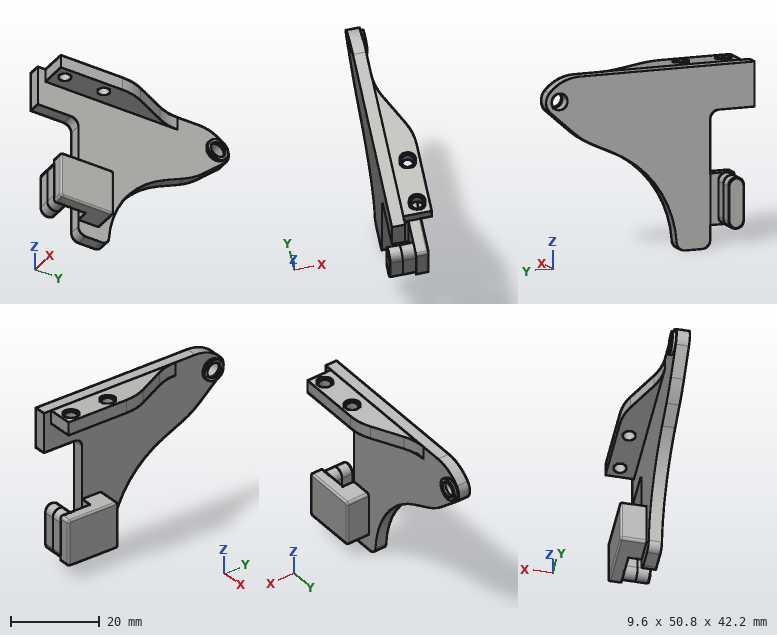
import cadquery as cq
import math


plate_thickness = 3.05
plate_height = 42.2
tongue_height = 10.4
leg_front_y = 10.75
corner_radius = 2.05
pivot_y = 47.5
pivot_z = -5.45
nose_radius = 3.3
crown_radius = 9.6
pivot_hole_diameter = 3.8
nose_slope = math.radians(41.6)
belly_slope = math.radians(24.7)
bend_radius = 20.3
sweep_radius = 25.9
sweep_center_y = 44.8
sweep_center_z = -42.05

boss_diameter = 5.4
boss_height = 0.75

flange_outer_x = 9.6
flange_thickness = 3.4
flange_front_y = 2.05
flange_taper_start_y = 18.4
flange_taper_end_y = 37.2
flange_taper_angle = math.radians(27)
flange_end_radius = 12.5
screw_x = 6.8
screw_front_y = 4.85
screw_spacing = 10.35
screw_hole_diameter = 2.9
counterbore_diameter = 3.8
counterbore_depth = 0.5

clip_front_y = 2.4
clip_length = 14.05
clip_height = 11.95
clip_top_z = -26.35
clip_outer_x = 9.05
clip_wall_x = 6.1
clip_corner_radius = 0.65
clip_edge_radius = 0.45

post_center_y = 4.4
post_width = 3.8
post_height = 11.85
tip_chamfer = 0.2


def slope_normal(angle):
    """Unit vector pointing down and away from an edge that drops toward the front."""
    return math.sin(angle), -math.cos(angle)


def offset_point(y, z, distance, direction):
    return y + distance * direction[0], z + distance * direction[1]


def make_plate():
    crown_center_z = -crown_radius
    center_gap = crown_radius - nose_radius
    crown_center_y = pivot_y - math.sqrt(center_gap**2 - (pivot_z - crown_center_z) ** 2)
    crown_angle = math.atan2(pivot_z - crown_center_z, pivot_y - crown_center_y)
    crown_direction = (math.cos(crown_angle), math.sin(crown_angle))
    half_angle = (crown_angle + math.pi / 2) / 2
    half_direction = (math.cos(half_angle), math.sin(half_angle))
    crown_start = (crown_center_y, 0)
    crown_middle = offset_point(crown_center_y, crown_center_z, crown_radius, half_direction)
    crown_end = offset_point(pivot_y, pivot_z, nose_radius, crown_direction)

    nose_normal = slope_normal(nose_slope)
    belly_normal = slope_normal(belly_slope)
    nose_end = offset_point(pivot_y, pivot_z, nose_radius, nose_normal)
    sweep_start = offset_point(sweep_center_y, sweep_center_z, -sweep_radius, belly_normal)

    nose_gradient = math.tan(nose_slope)
    belly_gradient = math.tan(belly_slope)
    nose_intercept = nose_end[1] - nose_gradient * nose_end[0]
    belly_intercept = sweep_start[1] - belly_gradient * sweep_start[0]
    bend_y = (belly_intercept - nose_intercept) / (nose_gradient - belly_gradient)
    bend = (bend_y, nose_gradient * bend_y + nose_intercept)

    sweep_middle = offset_point(
        sweep_center_y, sweep_center_z, -sweep_radius, slope_normal((belly_slope + math.pi / 2) / 2)
    )
    foot_drop = plate_height + sweep_center_z
    foot_back = (sweep_center_y - math.sqrt(sweep_radius**2 - foot_drop**2), -plate_height)
    foot_front = (leg_front_y, -plate_height)
    notch = (leg_front_y, -tongue_height)

    plate = (
        cq.Workplane("YZ")
        .moveTo(0, 0)
        .lineTo(*crown_start)
        .threePointArc(crown_middle, crown_end)
        .threePointArc((pivot_y + nose_radius, pivot_z), nose_end)
        .lineTo(*bend)
        .lineTo(*sweep_start)
        .threePointArc(sweep_middle, foot_back)
        .lineTo(*foot_front)
        .lineTo(*notch)
        .lineTo(0, -tongue_height)
        .close()
        .extrude(plate_thickness)
    )
    rounded_corners = [
        (bend, bend_radius),
        (foot_back, corner_radius),
        (foot_front, corner_radius),
        (notch, corner_radius),
    ]
    for (y, z), radius in rounded_corners:
        plate = plate.edges(cq.NearestToPointSelector((plate_thickness / 2, y, z))).fillet(radius)
    hole = (
        cq.Workplane("YZ")
        .center(pivot_y, pivot_z)
        .circle(pivot_hole_diameter / 2)
        .extrude(plate_thickness)
    )
    return plate.cut(hole)


def make_boss():
    return (
        cq.Workplane("YZ", origin=(plate_thickness, 0, 0))
        .center(pivot_y, pivot_z)
        .circle(boss_diameter / 2)
        .circle(pivot_hole_diameter / 2)
        .extrude(boss_height)
    )


def make_flange():
    width = flange_outer_x - plate_thickness
    length = flange_taper_end_y - flange_taper_start_y
    sine = math.sin(flange_taper_angle)
    cosine = math.cos(flange_taper_angle)
    radius_sum = (length * sine - width * cosine) / (1 - cosine)
    root_radius = radius_sum - flange_end_radius

    def end_arc_point(angle):
        return (
            flange_outer_x - flange_end_radius * (1 - math.cos(angle)),
            flange_taper_start_y + flange_end_radius * math.sin(angle),
        )

    def root_arc_point(angle):
        return (
            plate_thickness + root_radius * (1 - math.cos(angle)),
            flange_taper_end_y - root_radius * math.sin(angle),
        )

    flange = (
        cq.Workplane("XY")
        .moveTo(plate_thickness, flange_front_y)
        .lineTo(flange_outer_x, flange_front_y)
        .lineTo(flange_outer_x, flange_taper_start_y)
        .threePointArc(end_arc_point(flange_taper_angle / 2), end_arc_point(flange_taper_angle))
        .lineTo(*root_arc_point(flange_taper_angle))
        .threePointArc(root_arc_point(flange_taper_angle / 2), (plate_thickness, flange_taper_end_y))
        .close()
        .extrude(-flange_thickness)
    )
    screw_points = [(screw_x, screw_front_y), (screw_x, screw_front_y + screw_spacing)]
    return (
        flange.faces(">Z")
        .workplane(origin=(0, 0, 0))
        .pushPoints(screw_points)
        .cboreHole(screw_hole_diameter, counterbore_diameter, counterbore_depth)
    )


def make_post(start_x, end_x):
    center_z = clip_top_z - clip_height / 2
    return (
        cq.Workplane("YZ", origin=(start_x, post_center_y, center_z))
        .slot2D(post_height, post_width, 90)
        .extrude(end_x - start_x)
    )


def make_clip():
    clip_back_y = clip_front_y + clip_length
    clip_bottom_z = clip_top_z - clip_height
    wall = (
        cq.Workplane("XY")
        .box(clip_outer_x - clip_wall_x, clip_length, clip_height, centered=False)
        .translate((clip_wall_x, clip_front_y, clip_bottom_z))
    )
    pad = (
        cq.Workplane("XY")
        .box(clip_wall_x - plate_thickness, clip_back_y - leg_front_y, clip_height, centered=False)
        .translate((plate_thickness, leg_front_y, clip_bottom_z))
    )
    block = wall.union(pad)
    block = block.edges("|X and (<Y or >Y)").fillet(clip_corner_radius)
    block = block.faces(">X").edges().fillet(clip_edge_radius)
    return block.union(make_post(plate_thickness, clip_wall_x))


def make_post_tip():
    return make_post(0, plate_thickness).faces("<X").edges().chamfer(tip_chamfer)


plate = make_plate()
boss = make_boss()
flange = make_flange()
clip = make_clip()
post_tip = make_post_tip()

result = cq.Compound.makeCompound(
    [plate.val(), boss.val(), flange.val(), clip.val(), post_tip.val()]
)